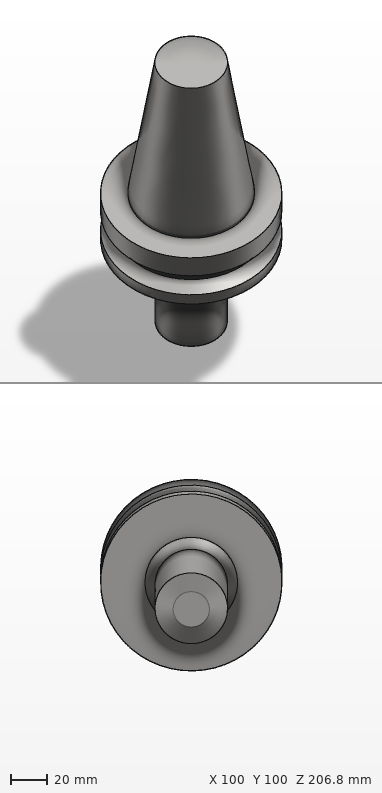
import cadquery as cq
import math

GAUGE_DIAMETER = 69.85
TAPER_LENGTH = 101.8
TAPER_RATIO = 7 / 24
FLANGE_GAP = 1.5

FLANGE_DIAMETER = 100.0
FLANGE_BOTTOM_DEPTH = 38.0
GROOVE_DIAMETER = 85.0
GROOVE_CENTRE_DEPTH = 23.2
GROOVE_FLOOR_WIDTH = 6.35
GROOVE_ANGLE = 60.0

SHANK_DIAMETER = 40.0
COLLAR_DIAMETER = 51.0
COLLAR_ANGLE = 45.0
PROJECTION = 105.0
TIP_ANGLE = 15.0
TIP_DIAMETER = 20.0

taper_small_diameter = GAUGE_DIAMETER - TAPER_LENGTH * TAPER_RATIO
wall_slope = math.tan(math.radians(GROOVE_ANGLE / 2))
groove_wall_height = (FLANGE_DIAMETER - GROOVE_DIAMETER) / 2 * wall_slope
groove_floor_half = GROOVE_FLOOR_WIDTH / 2
groove_mouth_half = groove_floor_half + groove_wall_height
collar_height = (COLLAR_DIAMETER - SHANK_DIAMETER) / 2 * math.tan(math.radians(COLLAR_ANGLE))
tip_height = (SHANK_DIAMETER - TIP_DIAMETER) / 2 * math.tan(math.radians(TIP_ANGLE))


def turned_profile(stations):
    """Close a half profile on the Z axis from (diameter, height) stations."""
    points = [(diameter / 2, height) for diameter, height in stations]
    top_height = points[0][1]
    bottom_height = points[-1][1]
    return [(0, top_height)] + points + [(0, bottom_height)]


def revolve_about_z(stations):
    """Turn a (diameter, height) outline into a solid of revolution about Z."""
    profile = cq.Workplane("YZ").polyline(turned_profile(stations)).close()
    return profile.revolve(360, (0, 0, 0), (0, 1, 0))


def make_taper():
    """Steep cone with the short gauge-diameter cylinder under it."""
    return revolve_about_z([
        (taper_small_diameter, TAPER_LENGTH),
        (GAUGE_DIAMETER, 0),
        (GAUGE_DIAMETER, -FLANGE_GAP),
    ])


def make_flange():
    """Disc with a flat-bottomed V-groove around its rim."""
    return revolve_about_z([
        (FLANGE_DIAMETER, -FLANGE_GAP),
        (FLANGE_DIAMETER, -GROOVE_CENTRE_DEPTH + groove_mouth_half),
        (GROOVE_DIAMETER, -GROOVE_CENTRE_DEPTH + groove_floor_half),
        (GROOVE_DIAMETER, -GROOVE_CENTRE_DEPTH - groove_floor_half),
        (FLANGE_DIAMETER, -GROOVE_CENTRE_DEPTH - groove_mouth_half),
        (FLANGE_DIAMETER, -FLANGE_BOTTOM_DEPTH),
    ])


def make_shank():
    """Cylinder with a conical collar under the flange and a blunt conical tip."""
    return revolve_about_z([
        (COLLAR_DIAMETER, -FLANGE_BOTTOM_DEPTH),
        (SHANK_DIAMETER, -FLANGE_BOTTOM_DEPTH - collar_height),
        (SHANK_DIAMETER, -PROJECTION + tip_height),
        (TIP_DIAMETER, -PROJECTION),
    ])


result = make_taper().union(make_flange()).union(make_shank())